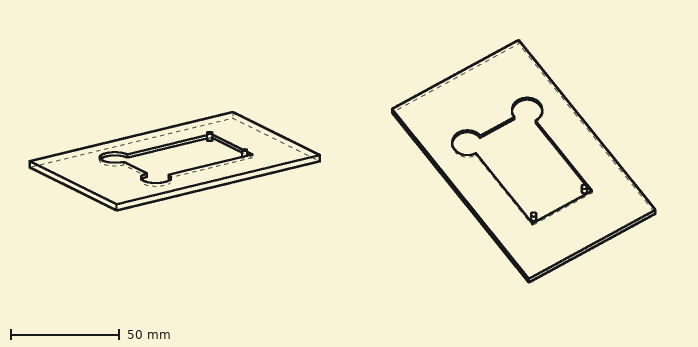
import cadquery as cq

plate_width = 70.0
plate_length = 114.2
plate_thickness = 3.1

pocket_width = 33.0
pocket_length = 54.2
pocket_depth = 1.6
pocket_back_margin = 25.0

relief_diameter = 14.0

pin_diameter = 2.5
pin_side_inset = 2.5
pin_back_inset = 2.7
overall_height = 5.0

pocket_floor = plate_thickness - pocket_depth
pocket_back = plate_length / 2 - pocket_back_margin
pocket_front = pocket_back - pocket_length
pocket_side = pocket_width / 2


def mirrored_points(x, y):
    """A pair of points placed symmetrically about the YZ plane."""
    return [(-x, y), (x, y)]


def make_plate():
    return cq.Workplane("XY").box(
        plate_width, plate_length, plate_thickness, centered=(True, True, False)
    )


def make_pocket():
    """Volume removed by the pocket together with its finger reliefs."""
    floor_plane = cq.Workplane("XY", origin=(0, 0, pocket_floor))
    recess = floor_plane.center(0, (pocket_back + pocket_front) / 2)
    recess = recess.rect(pocket_width, pocket_length).extrude(pocket_depth)
    reliefs = floor_plane.pushPoints(mirrored_points(pocket_side, pocket_front))
    reliefs = reliefs.circle(relief_diameter / 2).extrude(pocket_depth)
    return recess.union(reliefs)


def make_pins():
    """Pins rooted in the plate bottom, standing up through the pocket floor."""
    pin_centres = mirrored_points(pocket_side - pin_side_inset, pocket_back - pin_back_inset)
    pins = cq.Workplane("XY").pushPoints(pin_centres)
    return pins.circle(pin_diameter / 2).extrude(overall_height)


result = make_plate().cut(make_pocket()).union(make_pins())